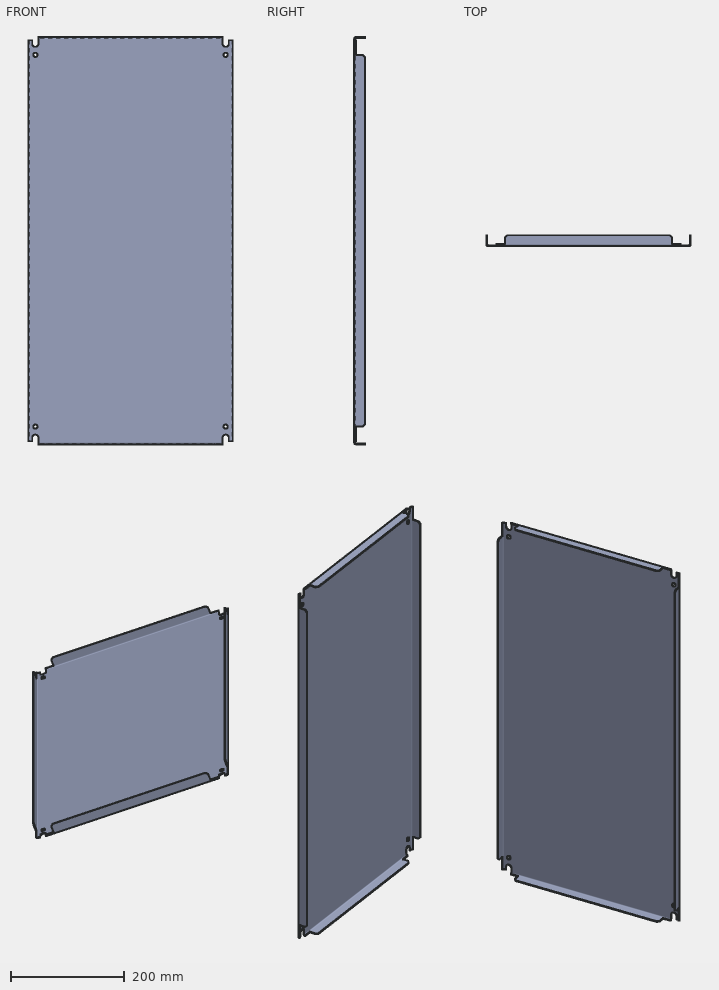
import cadquery as cq
import math

width = 360.0
depth = 19.0
height = 715.5

sheet = 2.0
bend_radius = 3.9
bend_inner_radius = bend_radius - sheet

side_bend_length = 705.0
end_bend_length = 323.5
side_flange_length = 652.5
end_flange_length = 293.5
flange_chamfer = 3.9

notch_width = 11.0
notch_floor_z = 340.5
hole_diameter = 7.0
hole_z = 326.0

web_width = width - 2 * bend_radius
web_height = height - 2 * bend_radius

notch_x = (end_bend_length + notch_width) / 2


def web_panel(panel_width, panel_height):
    """Flat rectangle of sheet with its front face on Y = 0."""
    return cq.Workplane("XY").box(panel_width, sheet, panel_height, centered=(True, False, True))


def folded_edge(reach, bend_length, flange_length):
    """Bend and chamfered flange on the +X edge, `reach` from the centre, running along Z."""
    bend_line = reach - bend_radius
    inner_face = reach - sheet
    diagonal = math.sqrt(0.5)
    bend = (
        cq.Workplane("XY", origin=(0, 0, -bend_length / 2))
        .moveTo(bend_line, 0)
        .threePointArc(
            (bend_line + bend_radius * diagonal, bend_radius - bend_radius * diagonal),
            (reach, bend_radius),
        )
        .lineTo(inner_face, bend_radius)
        .threePointArc(
            (bend_line + bend_inner_radius * diagonal, bend_radius - bend_inner_radius * diagonal),
            (bend_line, sheet),
        )
        .close()
        .extrude(bend_length)
    )
    flange = (
        cq.Workplane("XY")
        .box(sheet, depth - bend_radius, flange_length, centered=(False, False, True))
        .translate((inner_face, bend_radius, 0))
        .faces(">Y")
        .edges("|X")
        .chamfer(flange_chamfer)
    )
    return bend.union(flange)


def corner_cutters():
    """Round-bottomed notch and fixing hole for the +X, +Z corner, cutting through the web."""
    notch_radius = notch_width / 2
    arc_centre_z = notch_floor_z + notch_radius
    slot_height = height / 2 - arc_centre_z
    wall = cq.Workplane("XZ", origin=(0, sheet, 0))
    slot = wall.center(notch_x, arc_centre_z + slot_height / 2).rect(notch_width, slot_height).extrude(sheet)
    slot_end = wall.center(notch_x, arc_centre_z).circle(notch_radius).extrude(sheet)
    hole = wall.center(notch_x, hole_z).circle(hole_diameter / 2).extrude(sheet)
    return slot.union(slot_end).union(hole)


result = web_panel(web_width, side_bend_length).union(web_panel(end_bend_length, web_height))

side_edge = folded_edge(width / 2, side_bend_length, side_flange_length)
end_edge = folded_edge(height / 2, end_bend_length, end_flange_length)
for turn in (0, 180):
    result = result.union(side_edge.rotate((0, 0, 0), (0, 1, 0), turn))
    result = result.union(end_edge.rotate((0, 0, 0), (0, 1, 0), turn + 90))

right_top = corner_cutters()
right_pair = right_top.union(right_top.mirror("XY"))
result = result.cut(right_pair).cut(right_pair.mirror("YZ"))